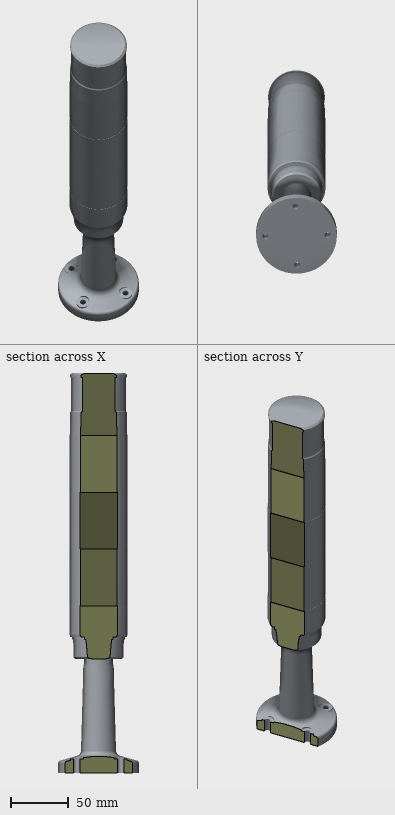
import cadquery as cq
import math

total_height = 345.0
stand_top = 144.5
module_height = 49.0
module_count = 3
cap_bottom = stand_top + module_count * module_height

foot_radius = 35.0
foot_rim_height = 8.3
foot_edge_radius = 32.5
foot_edge_height = 10.7
foot_cone_radius = 19.3
foot_cone_height = 14.5

pole_bottom_radius = 15.2
pole_bottom_height = 19.5
pole_top_radius = 13.0
pole_top_height = 93.5
neck_radius = 12.5

collar_bottom = 98.3
collar_top = 115.2
collar_bottom_radius = 21.5
collar_top_radius = 22.0
collar_chamfer = 1.5

terminal_bottom = 119.5
terminal_diameter = 50.0
terminal_radius = terminal_diameter / 2
terminal_step_radius = 24.5
terminal_step_height = 117.3
terminal_neck_radius = 22.8

hole_count = 4
hole_circle_radius = 27.0
hole_start_angle = 45
hole_diameter = 5.2
seat_diameter = 11.5
seat_height = 12.5

narrow_module_diameter = 49.7
wide_module_diameter = terminal_diameter
module_diameters = [narrow_module_diameter, wide_module_diameter, narrow_module_diameter]

cap_ring_bottom_radius = 25.0
cap_ring_top_radius = 24.5
cap_ring_top = 311.0
cap_ring_chamfer_top = 312.2
cap_radius = 23.8
cap_lip_radius = 24.5
cap_lip_bottom = 341.0
cap_lip_top = 343.5
cap_top_radius = 22.8


def diagonal_cylinders(bottom, top, diameter):
    """Upright cylinders on the hole circle of the foot."""
    return (
        cq.Workplane("XY", origin=(0, 0, bottom))
        .polarArray(hole_circle_radius, hole_start_angle, 360, hole_count)
        .circle(diameter / 2)
        .extrude(top - bottom)
    )


def quarter_arc_middle(center, radius_span, height_span):
    """Middle point of a quarter arc about a center in the profile plane."""
    diagonal = math.sin(math.pi / 4)
    return (center[0] + radius_span * diagonal, center[1] + height_span * diagonal)


def make_stand():
    """Foot, tapered pole, collar and terminal, turned as one body."""
    rim_middle = quarter_arc_middle(
        (foot_edge_radius, foot_rim_height),
        foot_radius - foot_edge_radius,
        foot_edge_height - foot_rim_height,
    )
    flare_middle = quarter_arc_middle(
        (foot_cone_radius, pole_bottom_height),
        pole_bottom_radius - foot_cone_radius,
        foot_cone_height - pole_bottom_height,
    )
    turned = (
        cq.Workplane("XZ")
        .lineTo(foot_radius, 0)
        .lineTo(foot_radius, foot_rim_height)
        .threePointArc(rim_middle, (foot_edge_radius, foot_edge_height))
        .lineTo(foot_cone_radius, foot_cone_height)
        .threePointArc(flare_middle, (pole_bottom_radius, pole_bottom_height))
        .lineTo(pole_top_radius, pole_top_height)
        .lineTo(neck_radius, pole_top_height)
        .lineTo(neck_radius, collar_bottom)
        .lineTo(collar_bottom_radius - collar_chamfer, collar_bottom)
        .lineTo(collar_bottom_radius, collar_bottom + collar_chamfer)
        .lineTo(collar_top_radius, collar_top)
        .lineTo(terminal_neck_radius, collar_top)
        .lineTo(terminal_neck_radius, terminal_step_height)
        .lineTo(terminal_step_radius, terminal_step_height)
        .lineTo(terminal_radius, terminal_bottom)
        .lineTo(terminal_radius, stand_top)
        .lineTo(0, stand_top)
        .close()
        .revolve(360, (0, 0), (0, 1))
    )
    seat_pads = diagonal_cylinders(0, seat_height, seat_diameter)
    seat_clearances = diagonal_cylinders(seat_height, pole_bottom_height, seat_diameter)
    through_holes = diagonal_cylinders(0, seat_height, hole_diameter)
    return turned.union(seat_pads).cut(seat_clearances).cut(through_holes)


def make_module(index):
    """One cylindrical light module of the stack, counted from below."""
    bottom = stand_top + index * module_height
    radius = module_diameters[index] / 2
    return cq.Workplane("XY", origin=(0, 0, bottom)).circle(radius).extrude(module_height)


def make_cap():
    """Top element: a tapered ring, a plain drum and a thin lip with a bevelled top."""
    return (
        cq.Workplane("XZ")
        .moveTo(0, cap_bottom)
        .lineTo(cap_ring_bottom_radius, cap_bottom)
        .lineTo(cap_ring_top_radius, cap_ring_top)
        .lineTo(cap_radius, cap_ring_chamfer_top)
        .lineTo(cap_radius, cap_lip_bottom)
        .lineTo(cap_lip_radius, cap_lip_bottom)
        .lineTo(cap_lip_radius, cap_lip_top)
        .lineTo(cap_top_radius, total_height)
        .lineTo(0, total_height)
        .close()
        .revolve(360, (0, 0), (0, 1))
    )


stand = make_stand()
modules = [make_module(index) for index in range(module_count)]
cap = make_cap()

result = cq.Compound.makeCompound([stand.val(), *[module.val() for module in modules], cap.val()])